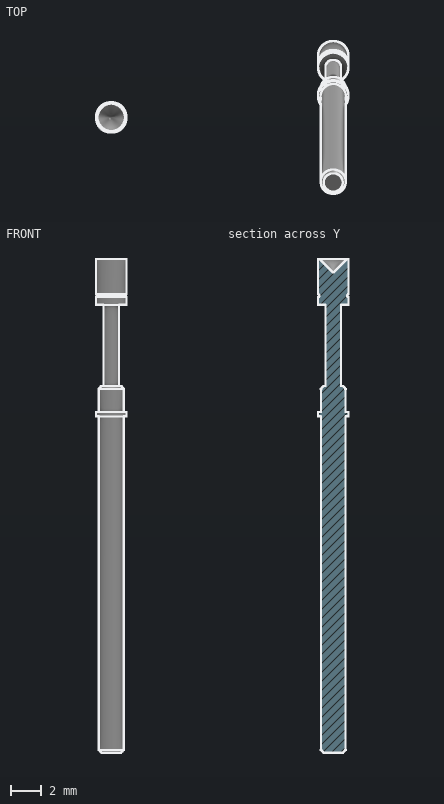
import cadquery as cq
import math

total_length = 32.3
head_diameter = 2.0

head_length = 3.0
cup_diameter = 1.8
cup_angle = 90.0
groove_offset = 2.3
groove_width = 0.2
groove_depth = 0.1

stem_diameter = 1.04

barrel_diameter = 1.65
barrel_length = 24.0
tail_diameter = 1.25
shoulder_diameter = 1.3
taper_height = 0.2
collar_diameter = head_diameter
collar_height = 0.3
collar_bottom = 22.0

head_radius = head_diameter / 2
head_bottom = total_length - head_length
cup_radius = cup_diameter / 2
cup_depth = cup_radius / math.tan(math.radians(cup_angle / 2))
stem_length = head_bottom - barrel_length
barrel_radius = barrel_diameter / 2
tail_radius = tail_diameter / 2
shoulder_radius = shoulder_diameter / 2


def cylinder(diameter, bottom, height):
    """Cylinder on the Z axis, starting at the given height."""
    return cq.Workplane("XY").workplane(offset=bottom).circle(diameter / 2).extrude(height)


def make_barrel():
    """Tube body tapered at both ends, with its collar."""
    body = (
        cq.Workplane("XZ")
        .moveTo(0, 0)
        .lineTo(tail_radius, 0)
        .lineTo(barrel_radius, taper_height)
        .lineTo(barrel_radius, barrel_length - taper_height)
        .lineTo(shoulder_radius, barrel_length)
        .lineTo(0, barrel_length)
        .close()
        .revolve(360, (0, 0), (0, 1))
    )
    return body.union(cylinder(collar_diameter, collar_bottom, collar_height))


def make_cup():
    """Cone removed from the top of the head, leaving a thin flat rim."""
    return (
        cq.Workplane("XZ")
        .moveTo(0, total_length)
        .lineTo(cup_radius, total_length)
        .lineTo(0, total_length - cup_depth)
        .close()
        .revolve(360, (0, 0), (0, 1))
    )


def make_groove():
    """V-shaped ring removed from the outside of the head."""
    groove_top = total_length - groove_offset
    return (
        cq.Workplane("XZ")
        .moveTo(head_radius, groove_top)
        .lineTo(head_radius - groove_depth, groove_top - groove_width / 2)
        .lineTo(head_radius, groove_top - groove_width)
        .close()
        .revolve(360, (0, 0), (0, 1))
    )


def make_head():
    """Plunger head with its cup and groove."""
    head = cylinder(head_diameter, head_bottom, head_length)
    return head.cut(make_cup()).cut(make_groove())


stem = cylinder(stem_diameter, barrel_length, stem_length)
result = make_barrel().union(stem).union(make_head())